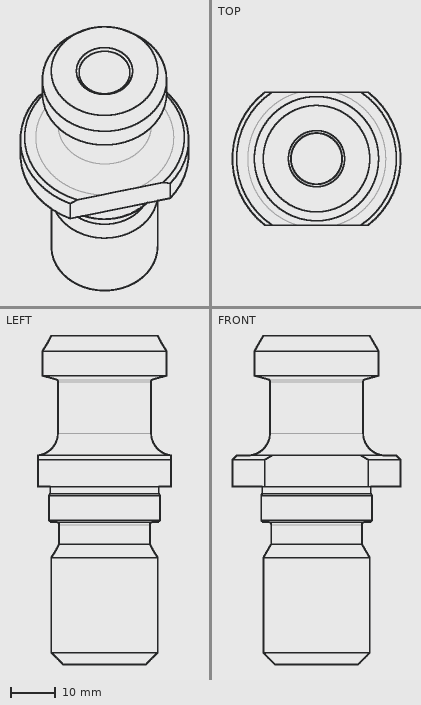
import cadquery as cq
import math

total_height = 74.0
bore_diameter = 11.5
bore_chamfer = 0.6
corner_radius = 0.5

head_radius = 28.0 / 2
head_top_radius = 24.0 / 2
head_cone_angle = math.radians(30)
head_bottom_z = 65.0
head_underside_angle = math.radians(15)

neck_radius = 21.0 / 2
neck_flare_radius = 5.0
flange_radius = 37.9 / 2
flange_top_z = 47.1
flange_bottom_z = 40.0
flange_chamfer = 0.95
flats_width = 30.0

relief_radius = 24.5 / 2
collar_radius = 25.0 / 2
collar_top_z = 38.0
collar_bottom_z = 32.05
collar_bottom_chamfer = 0.45
collar_cone_angle = math.radians(30)

undercut_radius = 20.5 / 2
undercut_bottom_z = 27.1
shank_radius = 24.0 / 2
shank_cone_angle = math.radians(30)
shank_end_chamfer = 2.7


def cone_height(small_radius, large_radius, angle_from_axis):
    """Axial length of a cone between two radii."""
    return (large_radius - small_radius) / math.tan(angle_from_axis)


def turned_body():
    """Revolve the half outline, drawn as (radius, z) from the bottom up."""
    shank_top_z = undercut_bottom_z - cone_height(undercut_radius, shank_radius, shank_cone_angle)
    relief_bottom_z = collar_top_z + cone_height(relief_radius, collar_radius, collar_cone_angle)
    head_cone_z = total_height - cone_height(head_top_radius, head_radius, head_cone_angle)

    arc_offset = corner_radius * (1 - math.cos(math.radians(45)))
    collar_arc_middle = (undercut_radius + arc_offset, collar_bottom_z - arc_offset)

    underside_corner_z = head_bottom_z - (head_radius - neck_radius) * math.tan(head_underside_angle)
    turn_angle = math.pi / 2 - head_underside_angle
    tangent_length = corner_radius * math.tan(turn_angle / 2)
    head_arc_start_z = underside_corner_z - tangent_length
    head_arc_middle = (
        neck_radius + corner_radius * (1 - math.cos(turn_angle / 2)),
        head_arc_start_z + corner_radius * math.sin(turn_angle / 2),
    )
    head_arc_end = (
        neck_radius + tangent_length * math.cos(head_underside_angle),
        underside_corner_z + tangent_length * math.sin(head_underside_angle),
    )

    flare_offset = neck_flare_radius * (1 - math.cos(math.radians(45)))
    flare_middle = (neck_radius + flare_offset, flange_top_z + flare_offset)

    outline = (
        cq.Workplane("XZ")
        .moveTo(0, 0)
        .lineTo(shank_radius - shank_end_chamfer, 0)
        .lineTo(shank_radius, shank_end_chamfer)
        .lineTo(shank_radius, shank_top_z)
        .lineTo(undercut_radius, undercut_bottom_z)
        .lineTo(undercut_radius, collar_bottom_z - corner_radius)
        .threePointArc(collar_arc_middle, (undercut_radius + corner_radius, collar_bottom_z))
        .lineTo(collar_radius - collar_bottom_chamfer, collar_bottom_z)
        .lineTo(collar_radius, collar_bottom_z + collar_bottom_chamfer)
        .lineTo(collar_radius, collar_top_z)
        .lineTo(relief_radius, relief_bottom_z)
        .lineTo(relief_radius, flange_bottom_z)
        .lineTo(flange_radius, flange_bottom_z)
        .lineTo(flange_radius, flange_top_z - flange_chamfer)
        .lineTo(flange_radius - flange_chamfer, flange_top_z)
        .lineTo(neck_radius + neck_flare_radius, flange_top_z)
        .threePointArc(flare_middle, (neck_radius, flange_top_z + neck_flare_radius))
        .lineTo(neck_radius, head_arc_start_z)
        .threePointArc(head_arc_middle, head_arc_end)
        .lineTo(head_radius, head_bottom_z)
        .lineTo(head_radius, head_cone_z)
        .lineTo(head_top_radius, total_height)
        .lineTo(0, total_height)
        .close()
    )
    return outline.revolve(360, (0, 0), (0, 1))


def cut_flats(body):
    """Keep only what lies between the two wrench flats facing -Y and +Y."""
    envelope = cq.Workplane("XY").rect(2 * flange_radius, flats_width).extrude(total_height)
    return body.intersect(envelope)


def cut_bore(body):
    """Through bore along Z, chamfered at the top."""
    drilled = body.faces(">Z").workplane(origin=(0, 0, total_height)).hole(bore_diameter)
    return drilled.faces(">Z").edges("%CIRCLE").edges(
        cq.selectors.RadiusNthSelector(0)
    ).chamfer(bore_chamfer)


result = cut_bore(cut_flats(turned_body()))